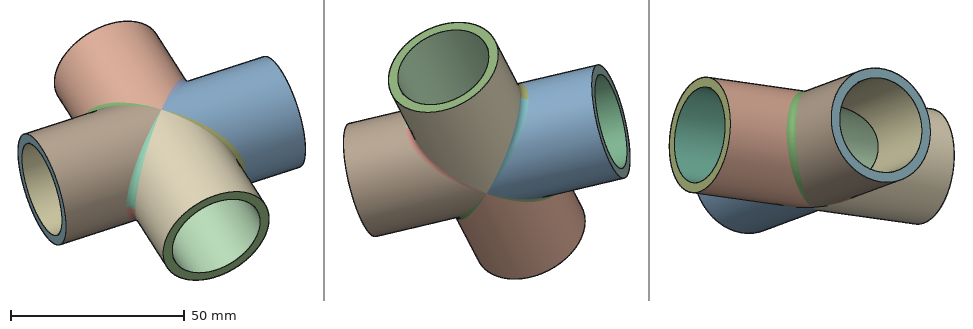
import cadquery as cq

tube_length = 76.0
outer_diameter = 33.7
bore_diameter = 27.9
crotch_radius = 2.0


def crossed_cylinders(diameter):
    """Union of one cylinder along X and one along Y, both centred on the origin."""
    along_x = cq.Workplane("YZ").circle(diameter / 2).extrude(tube_length / 2, both=True)
    along_y = cq.Workplane("XZ").circle(diameter / 2).extrude(tube_length / 2, both=True)
    return along_x.union(along_y)


def filleted_cross():
    """Solid outer cross; the seams between branches are its only elliptical edges."""
    return crossed_cylinders(outer_diameter).edges("%ELLIPSE").fillet(crotch_radius)


result = filleted_cross().cut(crossed_cylinders(bore_diameter))